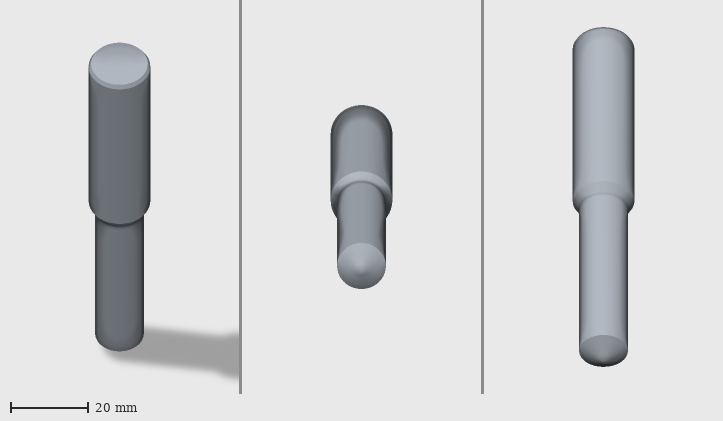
import cadquery as cq
import math

total_length = 108.0
shank_diameter = 16.0
cutter_diameter = 12.6
point_angle = 120.0
cutter_length = 50.9
neck_length = 1.1
taper_half_angle = 30.0
top_chamfer_height = 1.1
top_chamfer_width = 0.6

shank_radius = shank_diameter / 2
cutter_radius = cutter_diameter / 2
point_height = cutter_radius / math.tan(math.radians(point_angle / 2))
taper_start = cutter_length + neck_length
taper_height = (shank_radius - cutter_radius) / math.tan(math.radians(taper_half_angle))
taper_end = taper_start + taper_height


def revolve_profile(points):
    """Revolve a closed (radius, height) outline once around the Z axis."""
    return cq.Workplane("XZ").polyline(points).close().revolve(360, (0, 0), (0, 1))


def make_cutter():
    """Cylindrical cutting part with a conical point."""
    return revolve_profile([
        (0, 0),
        (cutter_radius, point_height),
        (cutter_radius, cutter_length),
        (0, cutter_length),
    ])


def make_shank():
    """Shank with a neck and taper at the bottom and a chamfer at the top."""
    return revolve_profile([
        (0, cutter_length),
        (cutter_radius, cutter_length),
        (cutter_radius, taper_start),
        (shank_radius, taper_end),
        (shank_radius, total_length - top_chamfer_height),
        (shank_radius - top_chamfer_width, total_length),
        (0, total_length),
    ])


cutter = make_cutter()
shank = make_shank()

result = cq.Compound.makeCompound([cutter.val(), shank.val()])